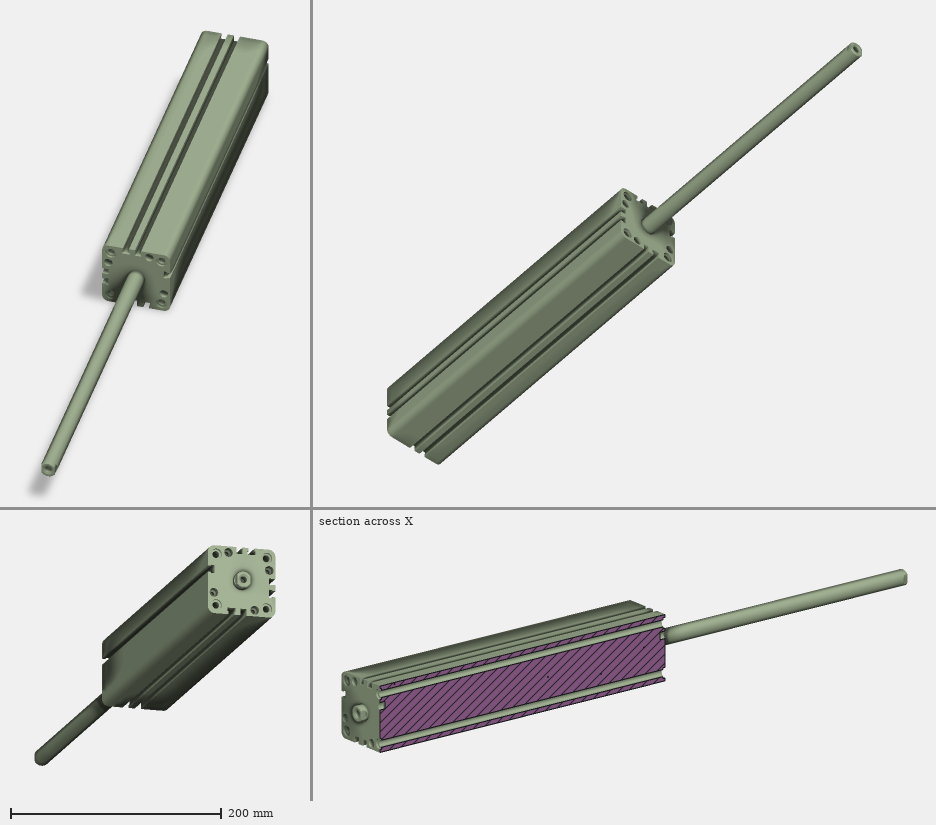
import cadquery as cq
import math

width = 67.0
half_width = width / 2
body_length = 345.0
corner_radius = 6.5

rod_diameter = 16.0
rod_front_length = 308.0
rod_rear_length = 7.5
flat_width = 13.0
flat_cutter_radius = 6.25
rod_chamfer = 0.8
thread_diameter = 6.65
drill_point_angle = 118.0
thread_depth = 20.0
thread_mouth_diameter = 10.5
thread_mouth_depth = 1.0
rod_guide_diameter = 17.6
rod_guide_depth = 2.0

mount_offset = 25.0
mount_hole_diameter = 6.65
mount_bore_diameter = 10.5
mount_bore_depth = 2.0

screw_along = 13.0
screw_out = 27.5
screw_diameter = 8.57
screw_depth = 6.0
socket_diameter = 4.0
socket_depth = 4.0

slot_depth = 6.5
slot_opening = 6.0
t_slot_center = -10.0
t_slot_width = 8.0
t_slot_lip = 3.0
plain_slot_center = 2.0

top, left, bottom, right = 0, -90, 180, 90
all_faces = (top, left, bottom, right)


def box(x_center, x_size, y_min, y_max, z_min, z_max):
    """Axis-aligned box, centred on x_center."""
    size_y = y_max - y_min
    size_z = z_max - z_min
    solid = cq.Workplane("XY").box(x_size, size_y, size_z, centered=(True, False, False))
    return solid.translate((x_center, y_min, z_min))


def cylinder(diameter, y_min, y_max, x=0.0, z=0.0):
    """Cylinder along Y."""
    solid = cq.Workplane("XZ").circle(diameter / 2).extrude(y_min - y_max)
    return solid.translate((x, y_min, z))


def on_face(solid, angle):
    """Turn a top-face feature about Y to another face."""
    return solid.rotate((0, 0, 0), (0, 1, 0), angle)


def make_body():
    body = box(0, width, 0, body_length, -half_width, half_width)
    return body.edges("|Y").fillet(corner_radius)


def plain_slot():
    floor = half_width - slot_depth
    return box(plain_slot_center, slot_opening, 0, body_length, floor, half_width)


def t_slot():
    floor = half_width - slot_depth
    neck = box(t_slot_center, slot_opening, 0, body_length, floor, half_width)
    chamber = box(t_slot_center, t_slot_width, 0, body_length, floor, half_width - t_slot_lip)
    return neck.union(chamber)


def at_both_ends(front_feature):
    """Pair a front-face feature with its mirror image on the rear face."""
    rear_feature = front_feature.mirror("XZ", (0, body_length / 2, 0))
    return front_feature.union(rear_feature)


def mount_hole():
    hole = cylinder(mount_hole_diameter, 0, body_length, mount_offset, mount_offset)
    bore = cylinder(mount_bore_diameter, 0, mount_bore_depth, mount_offset, mount_offset)
    return hole.union(at_both_ends(bore))


def screw_recess():
    recess = cylinder(screw_diameter, 0, screw_depth, screw_along, screw_out)
    socket = cylinder(socket_diameter, screw_depth, screw_depth + socket_depth, screw_along, screw_out)
    return at_both_ends(recess.union(socket))


def rod_guide_recess():
    return at_both_ends(cylinder(rod_guide_diameter, 0, rod_guide_depth))


def thread_hole():
    """Blind hole with a drill point and a countersunk mouth, opening at y = 0 and running toward +Y."""
    radius = thread_diameter / 2
    mouth_radius = thread_mouth_diameter / 2
    point_length = radius / math.tan(math.radians(drill_point_angle / 2))
    half_section = (
        cq.Workplane("XY")
        .moveTo(0, 0)
        .lineTo(mouth_radius, 0)
        .lineTo(radius, thread_mouth_depth)
        .lineTo(radius, thread_depth)
        .lineTo(0, thread_depth + point_length)
        .close()
    )
    return half_section.revolve(360, (0, 0, 0), (0, 1, 0))


def wrench_flats(tip_y):
    """Two opposite round-ended flats milled into a rod tip."""
    profile = cq.Workplane("YZ").center(tip_y, 0)
    cutter = profile.circle(flat_cutter_radius).extrude(rod_diameter / 2, both=True)
    kept_core = profile.circle(flat_cutter_radius).extrude(flat_width / 2, both=True)
    return cutter.cut(kept_core)


def make_rod():
    front = -rod_front_length
    rear = body_length + rod_rear_length
    rod = cylinder(rod_diameter, front, rear).faces("<Y or >Y").chamfer(rod_chamfer)
    for tip_y in (front, rear):
        rod = rod.cut(wrench_flats(tip_y))
    front_thread = thread_hole().translate((0, front, 0))
    rear_thread = thread_hole().mirror("XZ").translate((0, rear, 0))
    return rod.cut(front_thread).cut(rear_thread)


body = make_body()
for face in all_faces:
    body = body.cut(on_face(t_slot(), face))
    body = body.cut(on_face(mount_hole(), face))
    body = body.cut(on_face(screw_recess(), face))
for face in (top, left, bottom):
    body = body.cut(on_face(plain_slot(), face))
body = body.cut(rod_guide_recess())

result = body.union(make_rod())